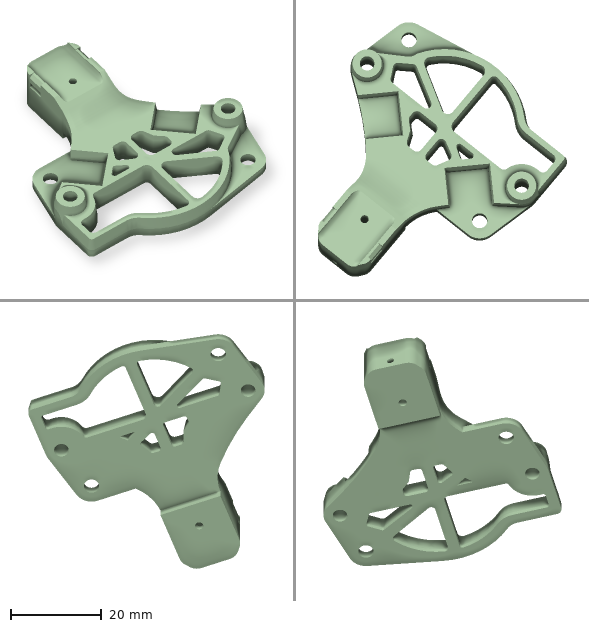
import cadquery as cq
import math

TOTAL_LENGTH = 56.3

TAB_TOP = 2.1
PLATE_TOP = 5.0
BOSS_TOP = 7.45
HEAD_TOP = 8.35
LID_THICKNESS = 2.0
DRAFT_ANGLE = 10.0
DRAFT_SLOPE = math.tan(math.radians(DRAFT_ANGLE))
DRAFT_HEIGHT = PLATE_TOP - TAB_TOP
DRAFT_SHIFT = DRAFT_HEIGHT * DRAFT_SLOPE

BOSS_X = 38.05
BOSS_Y = 21.95
BOSS_DIAMETER = 7.25
BOSS_RADIUS = BOSS_DIAMETER / 2
BOSS_HOLE_DIAMETER = 3.2
UPPER_BOSS = (BOSS_X, BOSS_Y)
LOWER_BOSS = (BOSS_X, -BOSS_Y)
EDGE_Y = BOSS_Y + BOSS_RADIUS
UPPER_TAB = (49.0, 19.0)
LOWER_TAB = (27.05, -18.95)
TAB_RADIUS = 4.0
TAB_HOLE_DIAMETER = 3.4

ARM_Y = 0.1
ARM_HALF_WIDTH = 7.05
ARM_STRAIGHT_END = 15.75
LID_END = 15.9
NOSE_RADIUS = 2.9
NOSE_POINTS = [(0, 3.3), (1.25, 5.75), (2.25, 6.55), (3.95, ARM_HALF_WIDTH)]
FLARE_MIDDLE = (22.6, 9.7)
FLARE_BULGE = (27.4, 14.25)
FLARE_END = (31.65, 19.3)
HEAD_SLOPE_START = 12.7
HEAD_SLOPE_ANGLE = math.radians(30)
HEAD_BLEND_RADIUS = 9.3
SADDLE_FLOOR = 7.15
SADDLE_HALF_WIDTH = 5.7
SADDLE_RADIUS = 1.1
TIE_START = 3.95
TIE_END = 7.9
TIE_SLOT_BOTTOM = 4.5
TIE_SLOT_TOP = 5.9
TIE_GROOVE_TOP = 8.15
TIE_GROOVE_BOTTOM = 7.3
TIE_GROOVE_DEPTH = 0.8
WIRE_HOLE_X = 10.35
WIRE_HOLE_DIAMETER = 1.8
NOSE_HOLE_DIAMETER = 1.6

RIM_CENTER = (BOSS_X, 0)
RIM_RADIUS = TOTAL_LENGTH - BOSS_X
RIM_LEAVE_X = 51.2
FOOT_X = 50.15
FOOT_TOP_Y = -15.1
FOOT_CORNER_RADIUS = 1.25
SHOULDER_START_X = 47.3
SHOULDER_END = (45.7, 16.75)
SHOULDER_AT_BOSS = (41.25, 23.85)
RIM_INNER_X = 36.0

RECESS_NEAR = (30.9, 5.85)
RECESS_FAR = (38.0, 13.0)
RECESS_REACH = 10.15
RECESS_FLOOR = 2.8

BAR_WIDTH = 1.5
BAR_HALF_WIDTH = BAR_WIDTH / 2
WINDOW_DRAFT_ANGLE = 7.5
WINDOW_THROAT_TOP = 1.0
LEFT_UPPER_CORE = [(36.1, 1.95), (36.1, 6.2), (35.2, 6.2), (33.5, 4.35), (30.9, 3.25), (30.9, 1.95)]
TOP_CORE = [(39.7, 6.35), (43.85, 13.85), (42.05, 16.5), (39.7, 15.25)]
LEFT_LOWER_CORE = [(30.9, -1.85), (34.65, -1.85), (33.3, -4.45), (30.9, -3.2)]
SMALL_CORE = [(36.7, -5.35), (36.7, -8.55), (35.45, -7.3)]
LEFT_UPPER_RADIUS = 1.25
TOP_RADIUS = 1.05
LEFT_LOWER_RADIUS = 1.1
SMALL_RADIUS = 0.7
WINDOW_RIM_RADIUS = 16.2
SECTOR_RADIUS = 1.4
SECTOR_START_X = 41.95
SECTOR_WALL_ANGLE = math.radians(60)
FOOT_WINDOW_RADIUS = 1.1
FOOT_WINDOW_LEFT = 39.75
FOOT_WINDOW_EASE = 0.45
FOOT_WINDOW_LEAVE_X = 48.95
FOOT_WINDOW_RIGHT = 47.2
FOOT_WINDOW_BEND_Y = -14.75
FOOT_WINDOW_BOTTOM = -22.6
BOSS_CLEARANCE_RADIUS = 6.65


def rim_point(x, radius, sign):
    """Point at the given X on a circle about the rim centre; sign picks +Y or -Y."""
    return (x, sign * math.sqrt(radius**2 - (x - BOSS_X) ** 2))


def on_circle(center, radius, angle):
    """Point on a circle at the given angle from +X, in radians."""
    return (center[0] + radius * math.cos(angle), center[1] + radius * math.sin(angle))


def tangent_angle(center_a, radius_a, center_b, radius_b, side):
    """Direction of the radii to the line touching both circles; side +1 is left of a to b."""
    dx = center_b[0] - center_a[0]
    dy = center_b[1] - center_a[1]
    return math.atan2(dy, dx) + side * math.acos((radius_a - radius_b) / math.hypot(dx, dy))


def mirrored(point):
    """The point reflected in the plate's middle line."""
    return (point[0], -point[1])


FLARE_TANGENT = tangent_angle(FLARE_END, 0, UPPER_BOSS, BOSS_RADIUS, 1)
UPPER_TAB_TANGENT = tangent_angle(UPPER_BOSS, BOSS_RADIUS, UPPER_TAB, TAB_RADIUS, 1)
UPPER_RIM_TANGENT = tangent_angle(UPPER_TAB, TAB_RADIUS, RIM_CENTER, RIM_RADIUS, 1)
LOWER_TAB_TANGENT = tangent_angle(LOWER_TAB, TAB_RADIUS, LOWER_BOSS, BOSS_RADIUS, -1)
FLARE_AT_BOSS = on_circle(UPPER_BOSS, BOSS_RADIUS, FLARE_TANGENT)


def nose_point(index, side):
    x, y = NOSE_POINTS[index]
    return (x, ARM_Y + side * y)


def head_side():
    """Start of an outline: from the lower end of the arm, round the nose, to the upper end."""
    return (
        cq.Workplane("XY")
        .moveTo(ARM_STRAIGHT_END, ARM_Y - ARM_HALF_WIDTH)
        .lineTo(*nose_point(3, -1))
        .radiusArc(nose_point(2, -1), NOSE_RADIUS)
        .lineTo(*nose_point(1, -1))
        .radiusArc(nose_point(0, -1), NOSE_RADIUS)
        .lineTo(*nose_point(0, 1))
        .radiusArc(nose_point(1, 1), NOSE_RADIUS)
        .lineTo(*nose_point(2, 1))
        .radiusArc(nose_point(3, 1), NOSE_RADIUS)
        .lineTo(ARM_STRAIGHT_END, ARM_Y + ARM_HALF_WIDTH)
    )


def arm_side():
    """Head outline continued along the upper flare to its tangent point on the upper boss."""
    return (
        head_side()
        .tangentArcPoint(FLARE_MIDDLE, relative=False)
        .threePointArc(FLARE_BULGE, FLARE_END)
        .lineTo(*FLARE_AT_BOSS)
    )


def close_lower_flare(outline):
    """Finish an outline from the bottom of the lower boss back along the lower flare."""
    boss_middle = on_circle(LOWER_BOSS, BOSS_RADIUS, -(FLARE_TANGENT + math.pi / 2) / 2)
    return (
        outline.threePointArc(boss_middle, mirrored(FLARE_AT_BOSS))
        .lineTo(*mirrored(FLARE_END))
        .threePointArc(mirrored(FLARE_BULGE), mirrored(FLARE_MIDDLE))
        .tangentArcPoint((ARM_STRAIGHT_END, ARM_Y - ARM_HALF_WIDTH), relative=False)
        .close()
    )


def arm_outline():
    top_middle = on_circle(UPPER_BOSS, BOSS_RADIUS, (FLARE_TANGENT + math.pi / 2) / 2)
    outline = arm_side().threePointArc(top_middle, (BOSS_X, EDGE_Y)).lineTo(BOSS_X, -EDGE_Y)
    return close_lower_flare(outline)


def follow_rim(outline):
    """Continue an outline clockwise round the rim and down the foot to its rounded corner."""
    return (
        outline.threePointArc((BOSS_X + RIM_RADIUS, 0), rim_point(RIM_LEAVE_X, RIM_RADIUS, -1))
        .tangentArcPoint((FOOT_X, FOOT_TOP_Y), relative=False)
        .lineTo(FOOT_X, FOOT_CORNER_RADIUS - EDGE_Y)
        .tangentArcPoint((FOOT_X - FOOT_CORNER_RADIUS, -EDGE_Y), relative=False)
    )


def plate_outline():
    """Arm, upper tab, rim and foot, without the lower tab."""
    boss_middle = on_circle(UPPER_BOSS, BOSS_RADIUS, (FLARE_TANGENT + UPPER_TAB_TANGENT) / 2)
    tab_middle = on_circle(UPPER_TAB, TAB_RADIUS, (UPPER_TAB_TANGENT + UPPER_RIM_TANGENT) / 2)
    upper_edge = (
        arm_side()
        .threePointArc(boss_middle, on_circle(UPPER_BOSS, BOSS_RADIUS, UPPER_TAB_TANGENT))
        .lineTo(*on_circle(UPPER_TAB, TAB_RADIUS, UPPER_TAB_TANGENT))
        .threePointArc(tab_middle, on_circle(UPPER_TAB, TAB_RADIUS, UPPER_RIM_TANGENT))
        .lineTo(*on_circle(RIM_CENTER, RIM_RADIUS, UPPER_RIM_TANGENT))
    )
    return close_lower_flare(follow_rim(upper_edge).lineTo(BOSS_X, -EDGE_Y))


def rim_outline():
    """Outline of the drafted upper part of the rim, where it stands on the tab level."""
    shoulder = (
        cq.Workplane("XY", origin=(0, 0, TAB_TOP))
        .moveTo(RIM_INNER_X, BOSS_Y)
        .lineTo(*SHOULDER_AT_BOSS)
        .lineTo(*SHOULDER_END)
        .tangentArcPoint(rim_point(SHOULDER_START_X, RIM_RADIUS, 1), relative=False)
    )
    return follow_rim(shoulder).lineTo(RIM_INNER_X, -EDGE_Y).close()


def arm():
    """Arm with a raised head that slopes and blends down to the plate."""
    blend_drop = HEAD_BLEND_RADIUS * (1 - math.cos(HEAD_SLOPE_ANGLE))
    blend_start_z = PLATE_TOP + blend_drop
    blend_start_x = HEAD_SLOPE_START + (HEAD_TOP - blend_start_z) / math.tan(HEAD_SLOPE_ANGLE)
    blend_end_x = blend_start_x + HEAD_BLEND_RADIUS * math.sin(HEAD_SLOPE_ANGLE)
    side_profile = (
        cq.Workplane("XZ")
        .moveTo(0, 0)
        .lineTo(0, HEAD_TOP)
        .lineTo(HEAD_SLOPE_START, HEAD_TOP)
        .lineTo(blend_start_x, blend_start_z)
        .tangentArcPoint((blend_end_x, PLATE_TOP), relative=False)
        .lineTo(BOSS_X, PLATE_TOP)
        .lineTo(BOSS_X, 0)
        .close()
        .extrude(EDGE_Y, both=True)
    )
    return arm_outline().extrude(HEAD_TOP).intersect(side_profile)


def boss_cone(center):
    base_radius = BOSS_RADIUS + DRAFT_SHIFT
    height = BOSS_TOP - TAB_TOP
    top_radius = base_radius - height * DRAFT_SLOPE
    cone = cq.Solid.makeCone(base_radius, top_radius, height, cq.Vector(*center, TAB_TOP))
    return cq.Workplane(obj=cone)


def lower_tab():
    corner_middle = on_circle(LOWER_TAB, TAB_RADIUS, (LOWER_TAB_TANGENT - math.pi) / 2)
    return (
        cq.Workplane("XY")
        .moveTo(LOWER_TAB[0] - TAB_RADIUS, -FLARE_MIDDLE[1])
        .lineTo(LOWER_TAB[0] - TAB_RADIUS, LOWER_TAB[1])
        .threePointArc(corner_middle, on_circle(LOWER_TAB, TAB_RADIUS, LOWER_TAB_TANGENT))
        .lineTo(*on_circle(LOWER_BOSS, BOSS_RADIUS, LOWER_TAB_TANGENT))
        .lineTo(*LOWER_BOSS)
        .close()
        .extrude(TAB_TOP)
    )


def recess(side):
    """Square drafted recess that opens sideways through the flare; side is +1 or -1 in Y."""
    corners = [
        RECESS_NEAR,
        RECESS_FAR,
        (RECESS_FAR[0] - RECESS_REACH, RECESS_FAR[1] + RECESS_REACH),
        (RECESS_NEAR[0] - RECESS_REACH, RECESS_NEAR[1] + RECESS_REACH),
    ]
    outline = cq.Workplane("XY", origin=(0, 0, PLATE_TOP)).polyline([(x, side * y) for x, y in corners])
    return outline.close().extrude(RECESS_FLOOR - PLATE_TOP, taper=DRAFT_ANGLE)


def recess_deepening(cutter):
    """Straight extension of a recess from its floor down to the tab level."""
    return cutter.faces("<Z").wires().toPending().extrude(TAB_TOP - RECESS_FLOOR)


def polygon_core(points):
    return cq.Workplane("XY", origin=(0, 0, PLATE_TOP)).polyline(points).close()


def sector_core():
    """Sector window: a 60 degree wall, an arc along the rim and an edge along the bar."""
    radius = WINDOW_RIM_RADIUS - SECTOR_RADIUS
    base_y = BAR_HALF_WIDTH + SECTOR_RADIUS
    offset_x = SECTOR_START_X - BOSS_X
    along = offset_x * math.cos(SECTOR_WALL_ANGLE) + base_y * math.sin(SECTOR_WALL_ANGLE)
    wall_length = math.sqrt(along**2 + radius**2 - offset_x**2 - base_y**2) - along
    wall_end = on_circle((SECTOR_START_X, base_y), wall_length, SECTOR_WALL_ANGLE)
    corner = (BOSS_X + math.sqrt(radius**2 - base_y**2), base_y)
    wall_end_angle = math.atan2(wall_end[1], wall_end[0] - BOSS_X)
    return (
        cq.Workplane("XY", origin=(0, 0, PLATE_TOP))
        .moveTo(SECTOR_START_X, base_y)
        .lineTo(*corner)
        .threePointArc(on_circle(RIM_CENTER, radius, wall_end_angle / 2), wall_end)
        .close()
    )


def foot_core():
    """Large window that follows the rim, the foot and the lower boss."""
    radius = WINDOW_RIM_RADIUS - FOOT_WINDOW_RADIUS
    top_y = -BAR_HALF_WIDTH - FOOT_WINDOW_RADIUS
    corner = (BOSS_X + math.sqrt(radius**2 - top_y**2), top_y)
    clearance_x = BOSS_X + BOSS_CLEARANCE_RADIUS
    clearance_rise = math.sqrt(BOSS_CLEARANCE_RADIUS**2 - (FOOT_WINDOW_LEFT - BOSS_X) ** 2)
    return (
        cq.Workplane("XY", origin=(0, 0, PLATE_TOP))
        .moveTo(FOOT_WINDOW_LEFT + FOOT_WINDOW_EASE, top_y)
        .lineTo(*corner)
        .threePointArc(
            on_circle(RIM_CENTER, radius, -math.pi / 8),
            rim_point(FOOT_WINDOW_LEAVE_X, radius, -1),
        )
        .tangentArcPoint((FOOT_WINDOW_RIGHT, FOOT_WINDOW_BEND_Y), relative=False)
        .lineTo(FOOT_WINDOW_RIGHT, FOOT_WINDOW_BOTTOM)
        .lineTo(clearance_x, FOOT_WINDOW_BOTTOM)
        .lineTo(clearance_x, -BOSS_Y)
        .threePointArc(
            on_circle(LOWER_BOSS, BOSS_CLEARANCE_RADIUS, math.pi / 4),
            (FOOT_WINDOW_LEFT, clearance_rise - BOSS_Y),
        )
        .lineTo(FOOT_WINDOW_LEFT, top_y - FOOT_WINDOW_EASE)
        .tangentArcPoint((FOOT_WINDOW_LEFT + FOOT_WINDOW_EASE, top_y), relative=False)
        .close()
    )


def window(core, corner_radius):
    """Through window: drafted mouth above a straight throat."""
    mouth_height = PLATE_TOP - WINDOW_THROAT_TOP
    inset = mouth_height * math.tan(math.radians(WINDOW_DRAFT_ANGLE))
    wire = core.val()
    throat_wire = wire.offset2D(corner_radius - inset)[0]
    mouth_wire = wire.offset2D(corner_radius)[0]
    throat = cq.Solid.extrudeLinear(throat_wire, [], cq.Vector(0, 0, -PLATE_TOP))
    mouth = cq.Solid.extrudeLinear(mouth_wire, [], cq.Vector(0, 0, -mouth_height), WINDOW_DRAFT_ANGLE)
    return cq.Workplane(obj=mouth).union(cq.Workplane(obj=throat))


def saddle():
    """Round-cornered trough along the top of the head."""
    trough_height = 2 * (HEAD_TOP - SADDLE_FLOOR)
    return (
        cq.Workplane("XY", origin=(0, ARM_Y, SADDLE_FLOOR))
        .rect(2 * ARM_STRAIGHT_END, 2 * SADDLE_HALF_WIDTH)
        .extrude(trough_height)
        .edges("|X and <Z")
        .fillet(SADDLE_RADIUS)
    )


def tie_slot():
    slot_length = TIE_END - TIE_START
    return (
        cq.Workplane("XY", origin=(TIE_START + slot_length / 2, ARM_Y, TIE_SLOT_BOTTOM))
        .rect(slot_length, 4 * ARM_HALF_WIDTH)
        .extrude(TIE_SLOT_TOP - TIE_SLOT_BOTTOM)
    )


def tie_groove(side):
    """Lowered, chamfered stretch of the head's side wall, in line with the tie slot."""
    outer_y = ARM_Y + side * ARM_HALF_WIDTH
    profile = [
        (ARM_Y, HEAD_TOP),
        (ARM_Y, TIE_GROOVE_TOP),
        (outer_y - side * TIE_GROOVE_DEPTH, TIE_GROOVE_TOP),
        (outer_y, TIE_GROOVE_BOTTOM),
        (outer_y, HEAD_TOP),
    ]
    plane = cq.Workplane("YZ", origin=(TIE_START, 0, 0))
    return plane.polyline(profile).close().extrude(TIE_END - TIE_START)


def through_hole(center, diameter):
    start = cq.Workplane("XY", origin=(*center, -LID_THICKNESS))
    return start.circle(diameter / 2).extrude(LID_THICKNESS + HEAD_TOP)


def wire_passage():
    """Vertical wire hole, and the hole from the nose along the joint that meets it."""
    nose = cq.Workplane("YZ", origin=(0, ARM_Y, 0))
    nose_hole = nose.circle(NOSE_HOLE_DIAMETER / 2).extrude(WIRE_HOLE_X)
    return through_hole((WIRE_HOLE_X, ARM_Y), WIRE_HOLE_DIAMETER).union(nose_hole)


def build_bracket():
    plate = plate_outline()
    raised = rim_outline().extrude(DRAFT_HEIGHT, taper=DRAFT_ANGLE)
    for center in (UPPER_BOSS, LOWER_BOSS):
        raised = raised.union(boss_cone(center))
    raised = raised.intersect(plate_outline().extrude(BOSS_TOP))
    body = plate.extrude(TAB_TOP).union(arm()).union(raised).union(lower_tab())

    lower_recess = recess(-1)
    body = body.cut(recess(1)).cut(lower_recess).cut(recess_deepening(lower_recess))

    windows = [
        (polygon_core(LEFT_UPPER_CORE), LEFT_UPPER_RADIUS),
        (polygon_core(TOP_CORE), TOP_RADIUS),
        (polygon_core(LEFT_LOWER_CORE), LEFT_LOWER_RADIUS),
        (polygon_core(SMALL_CORE), SMALL_RADIUS),
        (sector_core(), SECTOR_RADIUS),
        (foot_core(), FOOT_WINDOW_RADIUS),
    ]
    for core, corner_radius in windows:
        body = body.cut(window(core, corner_radius))

    for center in (UPPER_BOSS, LOWER_BOSS):
        body = body.cut(through_hole(center, BOSS_HOLE_DIAMETER))
    for center in (UPPER_TAB, LOWER_TAB):
        body = body.cut(through_hole(center, TAB_HOLE_DIAMETER))

    body = body.cut(saddle()).cut(tie_slot())
    for side in (1, -1):
        body = body.cut(tie_groove(side))
    return body.cut(wire_passage())


def build_lid():
    """Flat lid under the head, with the same nose outline."""
    plate = (
        head_side()
        .lineTo(LID_END, ARM_Y + ARM_HALF_WIDTH)
        .lineTo(LID_END, ARM_Y - ARM_HALF_WIDTH)
        .close()
        .extrude(-LID_THICKNESS)
    )
    return plate.cut(wire_passage())


bracket = build_bracket()
lid = build_lid()
result = cq.Compound.makeCompound([bracket.val(), lid.val()])